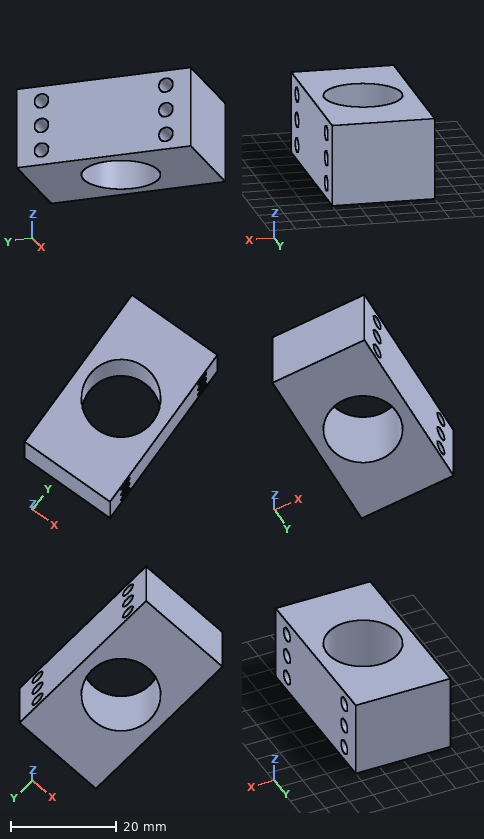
import cadquery as cq

width = 20.0
length = 35.0
height = 16.0

bore_diameter = 15.0

cross_hole_diameter = 2.8
column_spacing = 25.0
row_spacing = 5.0
column_count = 2
row_count = 3

block = cq.Workplane("XY").box(width, length, height)

bored_block = block.faces(">Z").workplane().hole(bore_diameter)

result = (
    bored_block.faces("<X")
    .workplane(origin=(0, 0, 0))
    .rarray(column_spacing, row_spacing, column_count, row_count)
    .hole(cross_hole_diameter)
)